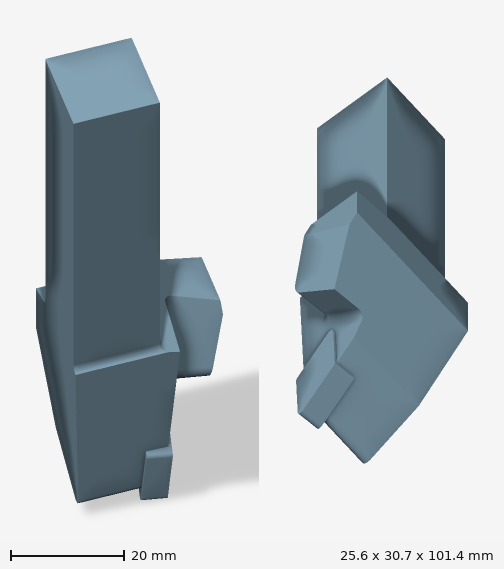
import cadquery as cq
import math


total_length = 101.4
total_width = 25.6
head_depth = 30.7

shank_width = 16.0
shank_left = 5.3
shank_right = shank_left + shank_width

shoulder_z = 35.8
shoulder_angle = 15.0
shoulder_fillet = 1.4
relief_start = (0, 23.9)
relief_end = (11.2, 9.3)
right_side_point = (23.8, 8.6)
nose_fillet = 1.2

side_lean = 3.0
point_angle = 55.0
flank_angle = 90 - side_lean - point_angle

rake_tilt = 6.0
insert_circle = 9.5
insert_thickness = 4.8
insert_corner_radius = 0.8
insert_tip_y = 15.9
insert_projection = 0.6

gullet_top = (-24.2, 46.2)
gullet_corner = (-8.7, 22.5)
gullet_ceiling_end = (-26.4, 5.9)
gullet_margin = 20.3
gullet_depth = 30.4
gullet_corner_radius = 2.0
gullet_fillet = 1.5

bevel_start = (1.4, 21.4)
bevel_angle = 21.0
bevel_reach = 40.5
bevel_half_width = 40.5


def tangent(degrees):
    return math.tan(math.radians(degrees))


def polar(length, degrees):
    angle = math.radians(degrees)
    return (length * math.cos(angle), length * math.sin(angle))


def midpoint(a, b):
    return ((a[0] + b[0]) / 2, (a[1] + b[1]) / 2)


def fillet_edge(body, point, radius):
    """Round the edge of the body whose middle is at the point."""
    return body.edges(cq.NearestToPointSelector(point)).fillet(radius)



def tilted_plane(origin):
    """Plane parallel to the rake face: local x is near X, local y near Z, normal near -Y."""
    return cq.Plane.XZ(origin=origin).rotated((-rake_tilt, -rake_tilt, 0))


def make_rake_plane():
    """Place the sharp tip so that the rounded nose reaches x = total_width and z = 0."""
    plane = tilted_plane((0, 0, 0))
    center_distance = insert_corner_radius / math.sin(math.radians(point_angle / 2))
    bisector = 90 + side_lean + point_angle / 2
    nose_center = plane.toWorldCoords(polar(center_distance, bisector))
    reach_x = insert_corner_radius * math.sqrt(1 - plane.zDir.x**2)
    reach_z = insert_corner_radius * math.sqrt(1 - plane.zDir.z**2)
    tip_x = total_width - reach_x - nose_center.x
    tip_z = reach_z - nose_center.z
    return tilted_plane((tip_x, insert_tip_y, tip_z))


rake_plane = make_rake_plane()
gullet_wall = tilted_plane(rake_plane.toWorldCoords((0, 0, insert_projection)).toTuple())



def right_side_x(z):
    return right_side_point[0] + (right_side_point[1] - z) * tangent(side_lean)


def make_front_block():
    """Shank and head as seen along Y, with both side shoulders, through the full depth."""
    fall = tangent(shoulder_angle)
    flank_slope = tangent(flank_angle)
    flank_z_at_side_foot = relief_end[1] - flank_slope * (right_side_x(0) - relief_end[0])
    nose_z = flank_z_at_side_foot / (1 - flank_slope * tangent(side_lean))
    nose_x = right_side_x(nose_z)
    right_shoulder_x = right_side_x(shoulder_z)
    outline = [
        (shank_left, total_length),
        (shank_left, shoulder_z),
        (0, shoulder_z - shank_left * fall),
        relief_start,
        relief_end,
        (nose_x, nose_z),
        (right_shoulder_x, shoulder_z - (right_shoulder_x - shank_right) * fall),
        (shank_right, shoulder_z),
        (shank_right, total_length),
    ]
    block = cq.Workplane("XZ").polyline(outline).close().extrude(-head_depth)
    for x in (shank_left, shank_right):
        block = fillet_edge(block, (x, head_depth / 2, shoulder_z), shoulder_fillet)
    return fillet_edge(block, (nose_x, head_depth / 2, nose_z), nose_fillet)


def make_side_block():
    """Shank and head as seen along X, with the rear shoulder, through the full width."""
    rear_z = shoulder_z - (head_depth - shank_width) * tangent(shoulder_angle)
    outline = [
        (0, 0),
        (head_depth, 0),
        (head_depth, rear_z),
        (shank_width, shoulder_z),
        (shank_width, total_length),
        (0, total_length),
    ]
    block = cq.Workplane("YZ").polyline(outline).close().extrude(total_width)
    return fillet_edge(block, (total_width / 2, shank_width, shoulder_z), shoulder_fillet)


def make_gullet_cutter():
    """Space behind the rake face, cut square to the gullet wall."""
    outline = [
        gullet_top,
        gullet_corner,
        gullet_ceiling_end,
        (gullet_ceiling_end[0], -gullet_margin),
        (gullet_margin, -gullet_margin),
        (gullet_margin, gullet_top[1]),
    ]
    cutter = cq.Workplane(gullet_wall).polyline(outline).close().extrude(-gullet_depth)
    corner_middle = gullet_wall.toWorldCoords((*gullet_corner, -gullet_depth / 2))
    cutter = fillet_edge(cutter, corner_middle.toTuple(), gullet_corner_radius)
    floor_middle = gullet_wall.toWorldCoords(midpoint(gullet_top, gullet_corner))
    return fillet_edge(cutter, floor_middle.toTuple(), gullet_fillet)


def make_bevel_cutter():
    """Wedge that runs in from the rear side, down along the relief face."""
    run = relief_end[0] - relief_start[0]
    rise = relief_end[1] - relief_start[1]
    plane = cq.Plane(
        origin=(bevel_start[0], head_depth, bevel_start[1]),
        xDir=(run, 0, rise),
        normal=(-rise, 0, run),
    )
    wedge = [(0, 0), (bevel_reach, -bevel_reach * tangent(bevel_angle)), (bevel_reach, 0)]
    return cq.Workplane(plane).polyline(wedge).close().extrude(bevel_half_width, both=True)


def make_holder(seated_insert):
    body = make_front_block().intersect(make_side_block())
    body = body.cut(make_gullet_cutter())
    body = body.cut(make_bevel_cutter())
    return body.cut(seated_insert)



def make_insert():
    """Diamond plate with rounded corners and sides square to the rake face."""
    side = insert_circle / math.sin(math.radians(point_angle))
    upper = polar(side, 90 + side_lean)
    lower = polar(side, 90 + side_lean + point_angle)
    far = (upper[0] + lower[0], upper[1] + lower[1])
    outline = [(0, 0), upper, far, lower]
    plate = cq.Workplane(rake_plane).polyline(outline).close().extrude(insert_thickness)
    corners = plate.edges(cq.ParallelDirSelector(rake_plane.zDir))
    return corners.fillet(insert_corner_radius)


insert = make_insert()
holder = make_holder(insert)

result = cq.Compound.makeCompound([holder.solids().val(), insert.solids().val()])